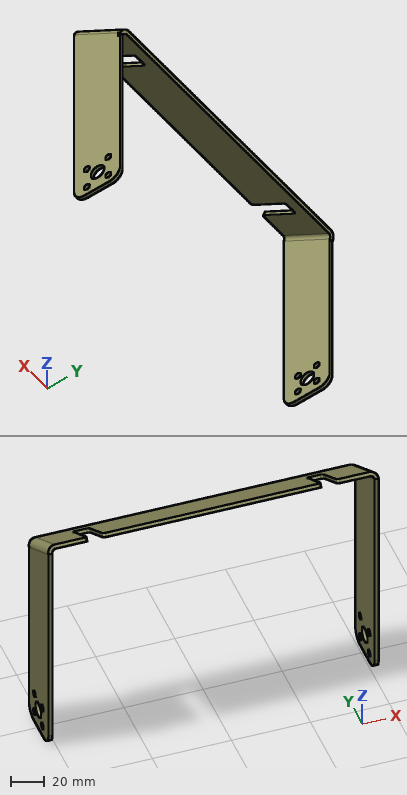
import cadquery as cq
import math

body_width = 209.0
overall_depth = 37.09
overall_height = 153.62
sheet = 2.65
bend_inner_radius = 2.4
slope_angle = 32.0

leg_corner_radius = 8.0
bore_from_front = 17.6
bore_diameter = 10.0
bore_height = 14.5
screw_hole_diameter = 4.2
left_screw_spacing = 14.0
right_screw_spacing = 16.0

pad_thickness = 0.12
pad_width = 1.5
pad_height = 2.0

slot_width = 10.0
slot_inset = 25.5
slot_depth = 29.5
slot_corner_radius = 1.5

slope = math.radians(slope_angle)
bend_outer_radius = bend_inner_radius + sheet
leg_width = overall_depth - bend_outer_radius * math.sin(slope)
leg_front_height = overall_height - bend_outer_radius * math.cos(slope)
leg_back_height = leg_front_height - leg_width * math.tan(slope)
plate_length = leg_width / math.cos(slope)
half_width = body_width / 2
bend_center_x = half_width - bend_outer_radius

slope_plane = cq.Plane(
    origin=(0, 0, leg_front_height),
    xDir=(1, 0, 0),
    normal=(0, -math.cos(slope), math.sin(slope)),
)


def make_top():
    """Sloping plate with a quarter-round bend along each side."""
    diagonal = math.sqrt(0.5)
    outer_mid = bend_outer_radius * diagonal
    inner_mid = bend_inner_radius * diagonal
    return (
        cq.Workplane(slope_plane)
        .moveTo(-half_width, 0)
        .threePointArc((-bend_center_x - outer_mid, outer_mid), (-bend_center_x, bend_outer_radius))
        .lineTo(bend_center_x, bend_outer_radius)
        .threePointArc((bend_center_x + outer_mid, outer_mid), (half_width, 0))
        .lineTo(half_width - sheet, 0)
        .threePointArc((bend_center_x + inner_mid, inner_mid), (bend_center_x, bend_inner_radius))
        .lineTo(-bend_center_x, bend_inner_radius)
        .threePointArc((-bend_center_x - inner_mid, inner_mid), (-half_width + sheet, 0))
        .close()
        .extrude(-plate_length)
    )


def make_leg(outer_x, inward, screw_spacing):
    """Vertical leg with a rounded foot, a bore and four screw holes."""
    leg = (
        cq.Workplane("YZ", origin=(outer_x, 0, 0))
        .polyline([(0, 0), (leg_width, 0), (leg_width, leg_back_height), (0, leg_front_height)])
        .close()
        .extrude(inward * sheet)
        .edges("|X and <Z")
        .fillet(leg_corner_radius)
    )
    hole_plane = cq.Workplane("YZ", origin=(outer_x, bore_from_front, bore_height))
    bore = hole_plane.circle(bore_diameter / 2).extrude(inward * sheet)
    screw_holes = (
        hole_plane.rect(screw_spacing, screw_spacing, forConstruction=True)
        .vertices()
        .circle(screw_hole_diameter / 2)
        .extrude(inward * sheet)
    )
    return leg.cut(bore).cut(screw_holes)


def make_corner_pad():
    """Shallow raised pad on the right leg, below the bend at the back edge."""
    pad_front = leg_width - pad_width
    pad_bottom = leg_back_height - pad_height
    return (
        cq.Workplane("YZ", origin=(half_width, 0, 0))
        .moveTo(pad_front, pad_bottom)
        .lineTo(leg_width, pad_bottom)
        .lineTo(leg_width, leg_back_height)
        .lineTo(pad_front, leg_back_height + pad_width * math.tan(slope))
        .close()
        .extrude(pad_thickness)
    )


def make_slot_cutter(center_x):
    """Slot open at the front edge, with rounded inner corners and a flared mouth."""
    left = center_x - slot_width / 2
    right = center_x + slot_width / 2
    plate_top = cq.Plane(
        origin=slope_plane.toWorldCoords((0, bend_inner_radius, 0)).toTuple(),
        xDir=(1, 0, 0),
        normal=slope_plane.yDir.toTuple(),
    )
    return (
        cq.Workplane(plate_top)
        .moveTo(left - slot_corner_radius, 0)
        .radiusArc((left, slot_corner_radius), -slot_corner_radius)
        .lineTo(left, slot_depth - slot_corner_radius)
        .radiusArc((left + slot_corner_radius, slot_depth), slot_corner_radius)
        .lineTo(right - slot_corner_radius, slot_depth)
        .radiusArc((right, slot_depth - slot_corner_radius), slot_corner_radius)
        .lineTo(right, slot_corner_radius)
        .radiusArc((right + slot_corner_radius, 0), -slot_corner_radius)
        .close()
        .extrude(sheet)
    )


result = make_top()
result = result.union(make_leg(-half_width, 1, left_screw_spacing))
result = result.union(make_leg(half_width, -1, right_screw_spacing))
result = result.union(make_corner_pad())

slot_center_x = half_width - slot_inset - slot_width / 2
for side in (-1, 1):
    result = result.cut(make_slot_cutter(side * slot_center_x))